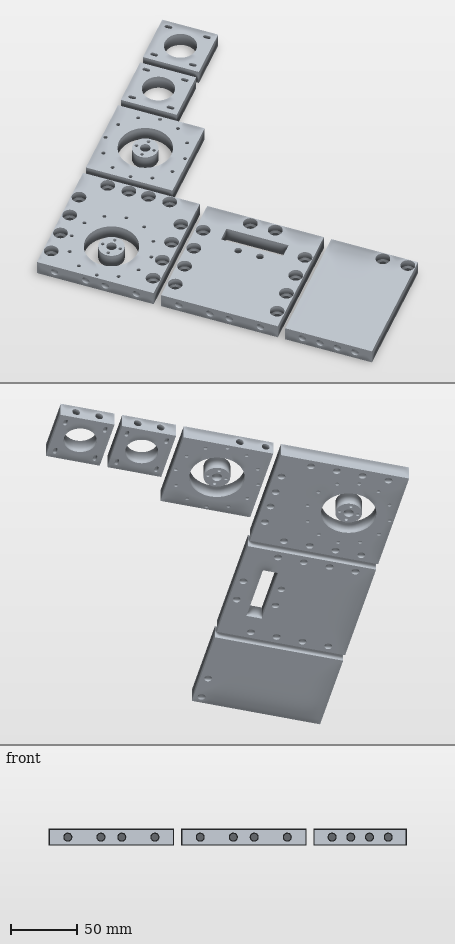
import cadquery as cq

total_length = 272.0
thickness = 12.0
wall_length = 100.0
wall_width = 94.0
square_side = 70.0
bracket_width = 45.2
plate_gap = 6.0
bracket_length = (total_length - wall_length - square_side - 3 * plate_gap) / 2

slotted_wall_x = wall_width + plate_gap
plain_wall_x = slotted_wall_x + wall_width + plate_gap
outer_bracket_y = total_length - bracket_length
inner_bracket_y = outer_bracket_y - plate_gap - bracket_length
bearing_plate_y = inner_bracket_y - plate_gap - square_side

screw_diameter = 6.0
counterbore_diameter = 11.2
counterbore_depth = thickness / 2
edge_distance = thickness / 2
screw_pitch = 20.0
first_side_screw_y = 14.7
side_screw_count = 4
outer_top_screw_offset = 25.0
inner_top_screw_offset = 8.0

edge_hole_diameter = screw_diameter
edge_hole_depth = 10.0
outer_front_hole_offset = 33.0
inner_front_hole_offset = 8.0
plain_front_hole_pitch = 14.1
bracket_edge_hole_pitch = 18.0

opening_diameter = 42.0
bolt_circle_radius = 32.0
bolt_hole_diameter = 3.0
bolt_count = 12
motor_opening_y = 35.0
hub_diameter = 20.0
hub_bore_diameter = 8.0
hub_hole_radius = 7.0
hub_hole_diameter = 2.7
hub_hole_count = 4

window_width = 50.0
window_height = 12.0
window_from_top = 23.5
window_hole_diameter = 5.7
window_hole_pitch = 17.7
window_hole_from_top = 36.0

bracket_bore_diameter = 25.0
bracket_slot_spacing = 31.0
bracket_slot_length = 6.0
bracket_slot_width = 3.0


def plate(width, length):
    """Flat plate with its lower left corner at the origin."""
    return cq.Workplane("XY").box(width, length, thickness, centered=False)


def drill(body, points, diameter):
    """Drill vertical holes through the body."""
    cutters = cq.Workplane("XY").pushPoints(points).circle(diameter / 2).extrude(thickness)
    return body.cut(cutters)


def counterbore(body, points):
    """Drill screw holes with counterbores sunk from the upper face."""
    sinks = (
        cq.Workplane("XY", origin=(0, 0, thickness - counterbore_depth))
        .pushPoints(points)
        .circle(counterbore_diameter / 2)
        .extrude(counterbore_depth)
    )
    return drill(body, points, screw_diameter).cut(sinks)


def drill_front_edge(body, x_places):
    """Drill blind holes into the -Y edge."""
    points = [(x, thickness / 2) for x in x_places]
    cutters = cq.Workplane("XZ").pushPoints(points).circle(edge_hole_diameter / 2).extrude(-edge_hole_depth)
    return body.cut(cutters)


def drill_left_edge(body, y_places):
    """Drill blind holes into the -X edge."""
    points = [(y, thickness / 2) for y in y_places]
    cutters = cq.Workplane("YZ").pushPoints(points).circle(edge_hole_diameter / 2).extrude(edge_hole_depth)
    return body.cut(cutters)


def mirrored(middle, offsets):
    """Places at each offset on both sides of the middle."""
    return [middle + sign * offset for offset in offsets for sign in (-1, 1)]


def side_screw_points():
    """Screw places along both long edges of a wide wall."""
    return [
        (x, first_side_screw_y + i * screw_pitch)
        for x in (edge_distance, wall_width - edge_distance)
        for i in range(side_screw_count)
    ]


def top_screw_points(x_places):
    """Screw places along the +Y edge of a wall."""
    return [(x, wall_length - edge_distance) for x in x_places]


def cut_ring_opening(body, centre):
    """Cut the round opening and the bolt circle around it."""
    bolt_holes = (
        cq.Workplane("XY", origin=(*centre, 0))
        .polarArray(bolt_circle_radius, 0, 360, bolt_count)
        .circle(bolt_hole_diameter / 2)
        .extrude(thickness)
    )
    return drill(body, [centre], opening_diameter).cut(bolt_holes)


def make_motor_wall():
    middle = wall_width / 2
    top_places = mirrored(middle, (outer_top_screw_offset, inner_top_screw_offset))
    body = cut_ring_opening(plate(wall_width, wall_length), (middle, motor_opening_y))
    body = counterbore(body, side_screw_points() + top_screw_points(top_places))
    return drill_front_edge(body, mirrored(middle, (outer_front_hole_offset, inner_front_hole_offset)))


def make_slotted_wall():
    middle = wall_width / 2
    window = cq.Workplane("XY", origin=(middle, wall_length - window_from_top, 0)).box(
        window_width, window_height, thickness, centered=(True, True, False)
    )
    hole_y = wall_length - window_hole_from_top
    body = plate(wall_width, wall_length).cut(window)
    body = drill(body, [(x, hole_y) for x in mirrored(middle, [window_hole_pitch / 2])], window_hole_diameter)
    body = counterbore(body, side_screw_points() + top_screw_points(mirrored(middle, [screw_pitch / 2])))
    return drill_front_edge(body, mirrored(middle, (outer_front_hole_offset, inner_front_hole_offset)))


def make_plain_wall():
    last_x = square_side - edge_distance
    body = counterbore(plate(square_side, wall_length), top_screw_points([last_x - screw_pitch, last_x]))
    front_offsets = (plain_front_hole_pitch / 2, plain_front_hole_pitch * 3 / 2)
    return drill_front_edge(body, mirrored(square_side / 2, front_offsets))


def make_bearing_plate():
    body = cut_ring_opening(plate(square_side, square_side), (square_side / 2, square_side / 2))
    return drill_left_edge(body, [edge_distance, edge_distance + screw_pitch])


def make_bracket():
    centre = (bracket_width / 2, bracket_length / 2)
    slots = (
        cq.Workplane("XY", origin=(*centre, 0))
        .rarray(bracket_slot_spacing, bracket_slot_spacing, 2, 2)
        .slot2D(bracket_slot_length, bracket_slot_width)
        .extrude(thickness)
    )
    body = drill(plate(bracket_width, bracket_length), [centre], bracket_bore_diameter).cut(slots)
    return drill_left_edge(body, mirrored(bracket_length / 2, [bracket_edge_hole_pitch / 2]))


def make_hub():
    """Hub centred on the origin, with a bore and a ring of screw holes."""
    body = cq.Workplane("XY").circle(hub_diameter / 2).circle(hub_bore_diameter / 2).extrude(thickness)
    screw_holes = (
        cq.Workplane("XY")
        .polarArray(hub_hole_radius, 0, 360, hub_hole_count)
        .circle(hub_hole_diameter / 2)
        .extrude(thickness)
    )
    return body.cut(screw_holes)


motor_wall = make_motor_wall()
slotted_wall = make_slotted_wall().translate((slotted_wall_x, 0, 0))
plain_wall = make_plain_wall().translate((plain_wall_x, 0, 0))
bearing_plate = make_bearing_plate().translate((0, bearing_plate_y, 0))

brackets = []
for bracket_y in (inner_bracket_y, outer_bracket_y):
    brackets.append(make_bracket().translate((0, bracket_y, 0)).val())

hub_centres = [
    (wall_width / 2, motor_opening_y, 0),
    (square_side / 2, bearing_plate_y + square_side / 2, 0),
]
hubs = []
for hub_centre in hub_centres:
    hubs.append(make_hub().translate(hub_centre).val())

result = cq.Compound.makeCompound(
    [motor_wall.val(), slotted_wall.val(), plain_wall.val(), bearing_plate.val(), *brackets, *hubs]
)